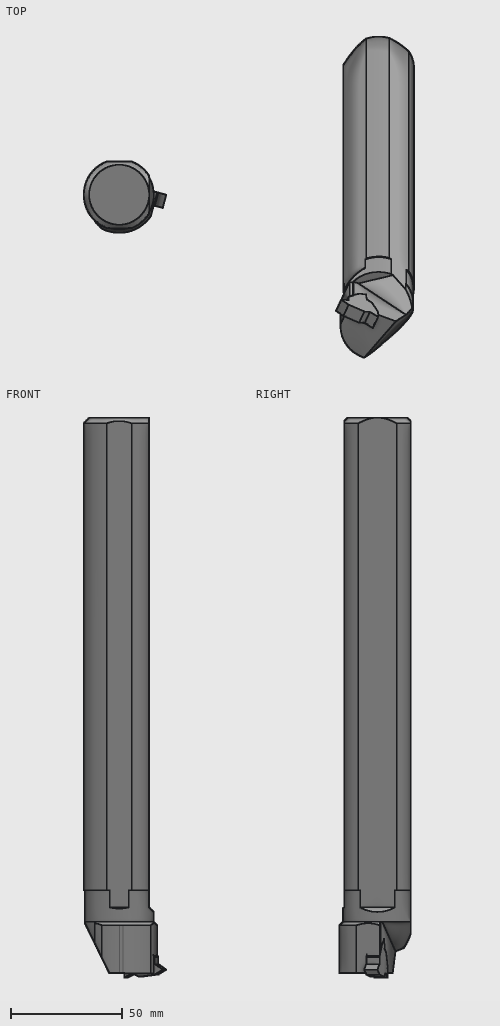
import cadquery as cq
import math


bar_length = 250.0
shank_radius = 16.0
shank_chamfer = 2.5
shank_end_z = 37.2
collar_radius = 15.6
neck_radius = 15.5

front_flat_y = -15.0
back_flat_y = 15.0
side_flat_x = shank_radius - shank_chamfer
flat_end_z = 29.6

head_radius = 17.19
head_top_z = 23.1
relief_flat_start = (-11.0, -12.0)
relief_flat_end_x = -7.8
crown_width = 1.5
head_corner_x = 14.3
bevel_bottom_x = -4.5
bevel_angle = 26.0

insert_tilt = 15.0
tip_x = 21.25
insert_center_z = 4.97
insert_thickness = 6.2
edge_radius = 6.35
tip = (10.05, -3.4)
upper_flank_height = 2.5
lower_flank_length = 3.65
lower_flank_height = 2.2
edge_top = 2.2

clearance_corner = (-21.6, 4.7)
clearance_wall_angle = 30.0
clearance_ramp_angle = 33.0
clearance_size = 40.0

overcut = 1.0

tilt_cos = math.cos(math.radians(insert_tilt))
tilt_sin = math.sin(math.radians(insert_tilt))
insert_center = (tip_x - tip[0] * tilt_cos, tip[0] * tilt_sin, insert_center_z)
rake_plane = cq.Plane(origin=insert_center, xDir=(tilt_cos, -tilt_sin, 0), normal=(-tilt_sin, -tilt_cos, 0))


def on_circle(radius, x):
    """Point at x on the front (-Y) half of a circle about the bar axis."""
    return (x, -math.sqrt(radius**2 - x**2))


def arc_middle(radius, start_x, end_x):
    return on_circle(radius, (start_x + end_x) / 2)


def rotated(point, degrees):
    turn = math.radians(degrees)
    x, y = point
    return (x * math.cos(turn) - y * math.sin(turn), x * math.sin(turn) + y * math.cos(turn))


def make_shank():
    shank = (
        cq.Workplane("XY")
        .workplane(offset=shank_end_z)
        .circle(shank_radius)
        .extrude(bar_length - shank_end_z)
        .faces(">Z")
        .chamfer(shank_chamfer)
    )
    collar = (
        cq.Workplane("XY")
        .workplane(offset=head_top_z)
        .circle(collar_radius)
        .extrude(shank_end_z - head_top_z)
    )
    neck = cq.Workplane("XY").circle(neck_radius).extrude(head_top_z)
    return shank.union(collar).union(neck)


def flat_cutter(depth):
    """Cutter for a flat facing +X at the given depth, running out at 45 degrees at its lower end."""
    reach = 2 * shank_radius - depth
    return (
        cq.Workplane("XZ")
        .moveTo(depth, bar_length + overcut)
        .lineTo(depth, flat_end_z)
        .lineTo(depth + reach, flat_end_z - reach)
        .lineTo(depth + reach, bar_length + overcut)
        .close()
        .extrude(shank_radius, both=True)
    )


def back_flat_cutter():
    """Cutter for the full-length flat on the +Y side."""
    return (
        cq.Workplane("XY")
        .box(2 * shank_radius, shank_radius, bar_length, centered=(True, False, False))
        .translate((0, back_flat_y, 0))
    )


def make_head():
    """Enlarged cutting end on the front side of the bar, with a conical chamfer on top."""
    relief_flat_end = on_circle(head_radius, relief_flat_end_x)
    corner = on_circle(head_radius, head_corner_x)
    corner_to_rake = insert_center[0] * tilt_sin + insert_center[1] * tilt_cos
    corner_to_rake -= corner[0] * tilt_sin + corner[1] * tilt_cos
    side_flat_end = (corner[0] + corner_to_rake * tilt_sin, corner[1] + corner_to_rake * tilt_cos)
    outline = (
        cq.Workplane("XY")
        .moveTo(0, 0)
        .lineTo(*relief_flat_start)
        .lineTo(*relief_flat_end)
        .threePointArc(arc_middle(head_radius, relief_flat_end_x, 0), (0, -head_radius))
        .lineTo(crown_width, -head_radius)
        .threePointArc(arc_middle(head_radius, crown_width, head_corner_x), corner)
        .lineTo(*side_flat_end)
        .close()
        .extrude(head_top_z)
    )
    cone_base_radius = collar_radius + head_top_z
    cone = cq.Workplane(cq.Solid.makeCone(cone_base_radius, collar_radius, head_top_z))
    return outline.intersect(cone)


def bevel_cutter():
    """Sloped cut that narrows the head on the -X side."""
    top_z = 2 * head_top_z
    top_x = bevel_bottom_x - top_z * math.tan(math.radians(bevel_angle))
    return (
        cq.Workplane("XZ")
        .polyline([(bevel_bottom_x, 0), (top_x, top_z), (top_x, 0)])
        .close()
        .extrude(2 * shank_radius, both=True)
    )


def clearance_cutter():
    """Chip space in front of the rake face, under a wall that climbs along the face and ramps outwards."""
    wall_cos = math.cos(math.radians(clearance_wall_angle))
    wall_sin = math.sin(math.radians(clearance_wall_angle))
    wall_plane = cq.Plane(
        origin=rake_plane.toWorldCoords(clearance_corner),
        xDir=-rake_plane.zDir,
        normal=rake_plane.xDir * wall_cos + rake_plane.yDir * wall_sin,
    )
    ramp_rise = clearance_size * math.tan(math.radians(clearance_ramp_angle))
    ramp = (
        cq.Workplane(wall_plane)
        .polyline(
            [
                (0, 0),
                (clearance_size, ramp_rise),
                (clearance_size, -clearance_size),
                (0, -clearance_size),
            ]
        )
        .close()
        .extrude(clearance_size, both=True)
    )
    below_head_top = cq.Workplane("XY").circle(clearance_size).extrude(head_top_z)
    return ramp.intersect(below_head_top)


def make_insert():
    """Three-pointed insert: one corner outline repeated at every 120 degrees."""
    corner_points = [
        (tip[0] - lower_flank_length, tip[1] - lower_flank_height),
        tip,
        (edge_radius, tip[1] + upper_flank_height),
        (edge_radius, edge_top),
    ]
    points = [rotated(point, turn) for turn in (0, 120, 240) for point in corner_points]
    return cq.Workplane(rake_plane).polyline(points).close().extrude(insert_thickness)


insert = make_insert()

holder = make_shank()
holder = holder.cut(flat_cutter(side_flat_x))
holder = holder.cut(flat_cutter(-front_flat_y).rotate((0, 0, 0), (0, 0, 1), -90))
holder = holder.cut(back_flat_cutter())
holder = holder.union(make_head())
holder = holder.cut(bevel_cutter()).cut(clearance_cutter()).cut(insert)

result = cq.Compound.makeCompound([holder.val(), insert.val()])